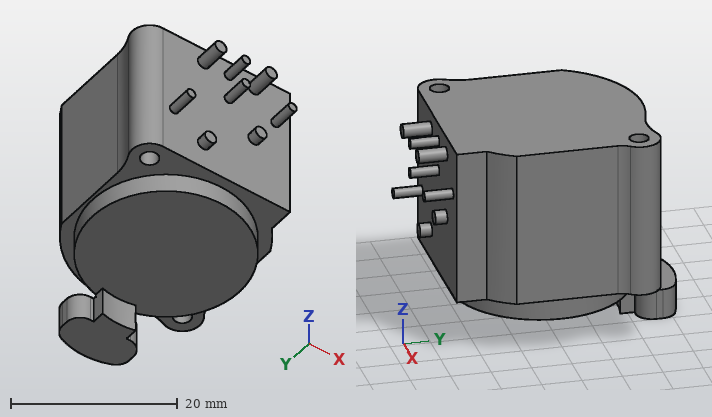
import cadquery as cq
import math


housing_height = 19.5
housing_radius = 12.75
side_x = 11.45
front_y = -12.5
foot_right_x = 9.23

ear_radius = 2.6
ear_offset = -front_y - ear_radius
screw_hole_radius = 1.17
large_blend_radius = 7.2
small_blend_radius = 2.28

disc_radius = 11.03
disc_height = 2.75

lever_gap = 0.33
lever_height = 3.82
pad_half_width = 5.02
pad_front_y = 11.15
pad_back_y = 16.6
pad_back_radius = 9.98
pad_corner_radius = 2.02
neck_half_width = 2.48
neck_inner_radius = 9.7

thick_pin_radius = 0.85
thin_pin_radius = 0.62
long_pin_length = 3.52
short_pin_length = 1.47
thick_pin_x = 3.8
top_row = 2.28
second_row = 6.13
long_thick_pins = [(-thick_pin_x, top_row), (thick_pin_x, top_row)]
short_thick_pins = [(thick_pin_x, 10.57), (-thick_pin_x, 15.62)]
thin_pins = [(0, top_row), (0, second_row), (6.98, second_row), (-8.22, 12.45)]


def point_towards(start, end, distance):
    """Point at a distance from start along the line to end."""
    ratio = distance / math.dist(start, end)
    return (start[0] + ratio * (end[0] - start[0]), start[1] + ratio * (end[1] - start[1]))


def side_blend_center(radius):
    """Center of an arc touching the right side and the upper-right ear from outside."""
    x = side_x + radius
    y = ear_offset - math.sqrt((radius + ear_radius) ** 2 - (x - ear_offset) ** 2)
    return (x, y)


def rim_blend_center(radius):
    """Center of an arc touching the round rim and the upper-right ear from outside."""
    ear_distance = math.hypot(ear_offset, ear_offset)
    from_axis = housing_radius + radius
    from_ear = ear_radius + radius
    along = (from_axis ** 2 + ear_distance ** 2 - from_ear ** 2) / (2 * ear_distance)
    across = math.sqrt(from_axis ** 2 - along ** 2)
    return ((along - across) / math.sqrt(2), (along + across) / math.sqrt(2))


def make_housing():
    axis = (0, 0)
    ear = (ear_offset, ear_offset)
    low_ear = (-ear_offset, -ear_offset)
    rim_side_y = math.sqrt(housing_radius ** 2 - side_x ** 2)
    foot_top = (foot_right_x, -math.sqrt(housing_radius ** 2 - foot_right_x ** 2))
    right_corner = (side_x, -rim_side_y)
    foot_arc_middle = point_towards(
        axis, (foot_top[0] + right_corner[0], foot_top[1] + right_corner[1]), housing_radius
    )

    right_blend = side_blend_center(small_blend_radius)
    right_ear_touch = point_towards(ear, right_blend, ear_radius)
    right_blend_middle = point_towards(
        right_blend,
        ((side_x + right_ear_touch[0]) / 2, (right_blend[1] + right_ear_touch[1]) / 2),
        small_blend_radius,
    )
    rim_blend = rim_blend_center(large_blend_radius)
    rim_blend_middle = (rim_blend[0], rim_blend[1] - large_blend_radius)

    turned = side_blend_center(large_blend_radius)
    left_blend = (-turned[0], -turned[1])
    left_ear_touch = point_towards(low_ear, left_blend, ear_radius)
    left_blend_middle = point_towards(
        left_blend,
        ((left_ear_touch[0] - side_x) / 2, (left_ear_touch[1] + left_blend[1]) / 2),
        large_blend_radius,
    )

    outline = (
        cq.Workplane("XY")
        .moveTo(-ear_offset, front_y)
        .lineTo(foot_right_x, front_y)
        .lineTo(*foot_top)
        .threePointArc(foot_arc_middle, right_corner)
        .lineTo(side_x, right_blend[1])
        .threePointArc(right_blend_middle, right_ear_touch)
        .threePointArc(point_towards(axis, ear, math.hypot(*ear) + ear_radius),
                       point_towards(ear, rim_blend, ear_radius))
        .threePointArc(rim_blend_middle, point_towards(axis, rim_blend, housing_radius))
        .threePointArc(point_towards(axis, (-1, 1), housing_radius), (-side_x, rim_side_y))
        .lineTo(-side_x, left_blend[1])
        .threePointArc(left_blend_middle, left_ear_touch)
        .threePointArc(point_towards(axis, low_ear, math.hypot(*low_ear) + ear_radius),
                       (-ear_offset, front_y))
        .close()
    )
    screw_holes = (
        cq.Workplane("XY").pushPoints([ear, low_ear]).circle(screw_hole_radius).extrude(-housing_height)
    )
    return outline.extrude(-housing_height).cut(screw_holes)


def make_disc():
    return cq.Workplane("XY", origin=(0, 0, -housing_height)).circle(disc_radius).extrude(-disc_height)


def make_lever():
    disc_bottom = -housing_height - disc_height
    pad_top = disc_bottom - lever_gap
    back_center_y = pad_back_y - pad_back_radius
    back_corner_y = back_center_y + math.sqrt(pad_back_radius ** 2 - pad_half_width ** 2)
    pad = (
        cq.Workplane("XY", origin=(0, 0, pad_top))
        .moveTo(-pad_half_width, pad_front_y)
        .lineTo(pad_half_width, pad_front_y)
        .lineTo(pad_half_width, back_corner_y)
        .threePointArc((0, pad_back_y), (-pad_half_width, back_corner_y))
        .close()
        .extrude(-lever_height)
        .edges("|Z")
        .fillet(pad_corner_radius)
    )

    inner_y = math.sqrt(neck_inner_radius ** 2 - neck_half_width ** 2)
    outer_y = math.sqrt(disc_radius ** 2 - neck_half_width ** 2)
    riser = (
        cq.Workplane("XY", origin=(0, 0, disc_bottom))
        .moveTo(-neck_half_width, inner_y)
        .threePointArc((0, neck_inner_radius), (neck_half_width, inner_y))
        .lineTo(neck_half_width, outer_y)
        .threePointArc((0, disc_radius), (-neck_half_width, outer_y))
        .close()
        .extrude(-lever_gap - lever_height)
    )
    bridge = (
        cq.Workplane("XY", origin=(0, 0, pad_top))
        .moveTo(-neck_half_width, inner_y)
        .threePointArc((0, neck_inner_radius), (neck_half_width, inner_y))
        .lineTo(neck_half_width, pad_back_y - pad_corner_radius)
        .lineTo(-neck_half_width, pad_back_y - pad_corner_radius)
        .close()
        .extrude(-lever_height)
    )
    return pad.union(riser).union(bridge)


def make_pins(places, radius, length):
    points = [(x, -depth) for x, depth in places]
    return cq.Workplane("XZ", origin=(0, front_y, 0)).pushPoints(points).circle(radius).extrude(length)


result = (
    make_housing()
    .union(make_disc())
    .union(make_lever())
    .union(make_pins(long_thick_pins, thick_pin_radius, long_pin_length))
    .union(make_pins(short_thick_pins, thick_pin_radius, short_pin_length))
    .union(make_pins(thin_pins, thin_pin_radius, long_pin_length))
)